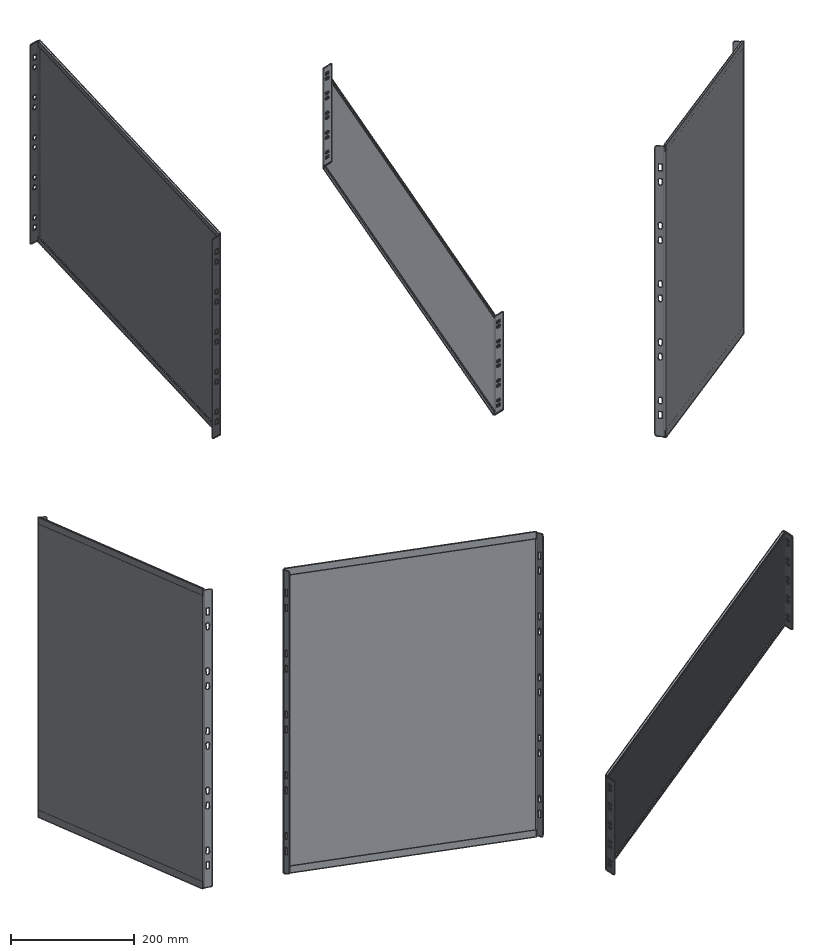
import cadquery as cq
import math

width = 506.0
depth = 18.0
height = 503.0

thickness = 1.5
hem_width = 11.5
hem_depth = 3.5
hem_setback = 2.5

bend_radius = 3.0
inner_bend_radius = bend_radius - thickness
flange_setback = 1.75
flange_corner_radius = 4.0

pair_pitch = 100.0
pairs_above_middle = 2
hole_spacing = 25.0
hole_length = 11.5
slot_width = 6.0
keyhole_diameter = 7.0

sheet_width = width - 2 * hem_setback
flange_height = height - 2 * flange_setback
hole_y = -depth / 2


def make_sheet():
    """Flat sheet with its back on the plane Y = 0."""
    return cq.Workplane("XY").box(sheet_width, thickness, height).translate((0, -thickness / 2, 0))


def make_hem(side):
    """Strip folded flat against the front of the sheet; side is 1 for the top, -1 for the bottom."""
    strip_depth = hem_depth - thickness
    center_y = -thickness - strip_depth / 2
    center_z = side * (height - hem_width) / 2
    return cq.Workplane("XY").box(sheet_width, strip_depth, hem_width).translate((0, center_y, center_z))


def make_flange(side):
    """Bend and flange along one side; side is 1 for +X and -1 for -X."""
    outer_x = side * width / 2
    inner_x = outer_x - side * thickness
    bend_x = outer_x - side * bend_radius

    def bend_middle(radius):
        """Point halfway along a bend arc."""
        offset = radius * math.sqrt(0.5)
        return (bend_x + side * offset, offset - bend_radius)

    flange = (
        cq.Workplane("XY")
        .moveTo(bend_x, 0)
        .threePointArc(bend_middle(bend_radius), (outer_x, -bend_radius))
        .lineTo(outer_x, -depth)
        .lineTo(inner_x, -depth)
        .lineTo(inner_x, -bend_radius)
        .threePointArc(bend_middle(inner_bend_radius), (bend_x, -thickness))
        .close()
        .extrude(flange_height / 2, both=True)
    )
    return flange.faces("<Y").edges("|X").fillet(flange_corner_radius)


def make_rectangle(z):
    """Cutter through both flanges for a rectangular hole."""
    return cq.Workplane("XY").box(width, slot_width, hole_length).translate((0, hole_y, z))


def make_keyhole(z, wide_end):
    """Cutter through both flanges for a keyhole; wide_end is 1 for a wide end on top, else -1."""
    wide_z = z + wide_end * (hole_length - keyhole_diameter) / 2
    narrow_z = z - wide_end * (hole_length - slot_width) / 2
    slot_length = abs(wide_z - narrow_z) + slot_width
    slot = (
        cq.Workplane("YZ")
        .center(hole_y, (wide_z + narrow_z) / 2)
        .slot2D(slot_length, slot_width, 90)
        .extrude(width / 2, both=True)
    )
    circle = (
        cq.Workplane("YZ")
        .center(hole_y, wide_z)
        .circle(keyhole_diameter / 2)
        .extrude(width / 2, both=True)
    )
    return slot.union(circle)


result = make_sheet()
for side in (-1, 1):
    result = result.union(make_hem(side)).union(make_flange(side))

for pair in range(-pairs_above_middle, pairs_above_middle + 1):
    for position in (-1, 1):
        hole_z = pair * pair_pitch + position * hole_spacing / 2
        if pair * position == pairs_above_middle:
            cutter = make_rectangle(hole_z)
        else:
            wide_end = -position if pair % 2 == 0 else position
            cutter = make_keyhole(hole_z, wide_end)
        result = result.cut(cutter)